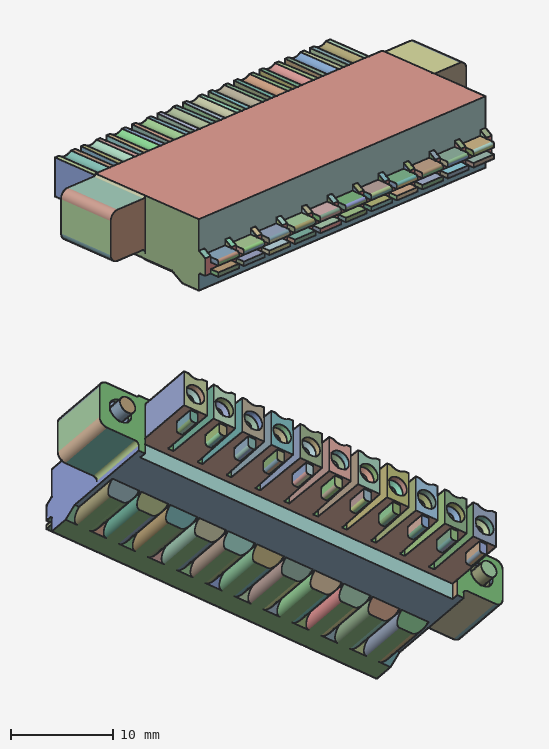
import cadquery as cq


POLES = 11
ROW_LENGTH = 35.0
PITCH = ROW_LENGTH / (POLES - 1)
POLE_Y = [(i - (POLES - 1) / 2) * PITCH for i in range(POLES)]

TOTAL_X = 22.8
TOTAL_Y = 48.8
HEIGHT = 7.75
HOUSING_FRONT = 6.45
HOUSING_REAR = 20.85
HOUSING_WIDTH = 39.35
FRONT_FLOOR = 0.9
REAR_RAMP_START = 17.05
REAR_RAMP_END = 18.55

RIDGE_REAR = 21.7
RIDGE_ROOT_TOP = 4.35
RIDGE_TIP_TOP = 3.8
RIDGE_TIP_BOTTOM = 1.9
RIDGE_CHAMFER = 0.15

PLUG_WIDTH = 2.8
PLUG_DRAFT = 0.075
PLUG_BOTTOM = 2.8
PLUG_TOP = 7.05
GROOVE_WIDTH = 1.6
GROOVE_DEPTH = 0.3
AXIS_Z = 4.8
HOLE_MOUTH_DIAMETER = 2.15
HOLE_END_DIAMETER = 1.1
HOLE_BORE_DEPTH = 0.7
HOLE_CONE_DEPTH = 0.4

PEG_FRONT = 0.25
PEG_LENGTH = 2.3
PEG_WIDTH = 0.9
PEG_BOTTOM = 1.45
PEG_ROUND = 0.3

RECESS_DEPTH = 0.8

LUG_FRONT = 11.5
LUG_RAMP_LENGTH = 1.5
LUG_WIDTH = 3.25
LUG_ROUND = 0.9
LUG_OVERLAP = 0.3

FLANGE_LENGTH = 6.95
FLANGE_BOTTOM = 1.95
FLANGE_ROUND = 0.95
FLANGE_ROOT = 0.5
TOP_BLEND = 0.25
FLANGE_TOP = HEIGHT - TOP_BLEND
BOTTOM_BLEND = 0.45
SCREW_Y = 21.85
SCREW_DIAMETER = 1.85
SCREW_LENGTH = 1.15
SCREW_RECESS_DIAMETER = 2.65
SCREW_RECESS_DEPTH = 0.5

LIP_WIDTH = 2.85
LIP_FRONT = HOUSING_REAR
UPPER_LIP_BOTTOM = 3.1
UPPER_LIP_TOP = 3.7
LOWER_LIP_TOP = 2.4
LIP_ROUND = 0.25


def block(x0, x1, width, z0, z1, y=0.0):
    """Box from x0 to x1 and z0 to z1, centred on y."""
    box = cq.Workplane("XY").box(x1 - x0, width, z1 - z0, centered=(False, True, False))
    return box.translate((x0, y, z0))


def cylinder_x(x0, x1, diameter, y, z):
    """Round bar along X."""
    return cq.Workplane("YZ", origin=(x0, y, z)).circle(diameter / 2).extrude(x1 - x0)


def make_housing():
    """Housing with its rear ridge, open below the plugs by a shallow front recess."""
    side_outline = [
        (HOUSING_FRONT, FRONT_FLOOR),
        (REAR_RAMP_START, FRONT_FLOOR),
        (REAR_RAMP_END, 0),
        (HOUSING_REAR, 0),
        (HOUSING_REAR, RIDGE_TIP_BOTTOM - RIDGE_CHAMFER),
        (HOUSING_REAR + RIDGE_CHAMFER, RIDGE_TIP_BOTTOM),
        (RIDGE_REAR, RIDGE_TIP_BOTTOM),
        (RIDGE_REAR, RIDGE_TIP_TOP),
        (HOUSING_REAR, RIDGE_ROOT_TOP),
        (HOUSING_REAR, HEIGHT),
        (HOUSING_FRONT, HEIGHT),
    ]
    housing = cq.Workplane("XZ").polyline(side_outline).close().extrude(HOUSING_WIDTH / 2, both=True)
    recess_width = ROW_LENGTH + PLUG_WIDTH
    recess = block(HOUSING_FRONT, HOUSING_FRONT + RECESS_DEPTH, recess_width, 0, PLUG_BOTTOM)
    return housing.cut(recess)


def make_flange():
    """Flange on the +Y side, blended into the housing above and below."""
    wall = HOUSING_WIDTH / 2
    edge = TOTAL_Y / 2
    root = wall - FLANGE_ROOT
    outline = (
        cq.Workplane("YZ", origin=(HOUSING_FRONT, 0, 0))
        .moveTo(root, FLANGE_BOTTOM - BOTTOM_BLEND)
        .lineTo(wall, FLANGE_BOTTOM - BOTTOM_BLEND)
        .radiusArc((wall + BOTTOM_BLEND, FLANGE_BOTTOM), BOTTOM_BLEND)
        .lineTo(edge - FLANGE_ROUND, FLANGE_BOTTOM)
        .radiusArc((edge, FLANGE_BOTTOM + FLANGE_ROUND), -FLANGE_ROUND)
        .lineTo(edge, FLANGE_TOP - FLANGE_ROUND)
        .radiusArc((edge - FLANGE_ROUND, FLANGE_TOP), -FLANGE_ROUND)
        .lineTo(wall + TOP_BLEND, FLANGE_TOP)
        .radiusArc((wall, HEIGHT), TOP_BLEND)
        .lineTo(root, HEIGHT)
        .close()
    )
    flange = outline.extrude(FLANGE_LENGTH)
    recess_floor = HOUSING_FRONT + SCREW_RECESS_DEPTH
    flange = flange.cut(cylinder_x(HOUSING_FRONT, recess_floor, SCREW_RECESS_DIAMETER, SCREW_Y, AXIS_Z))
    screw = cylinder_x(HOUSING_FRONT - SCREW_LENGTH, recess_floor, SCREW_DIAMETER, SCREW_Y, AXIS_Z)
    return flange.union(screw)


def make_plug(draft):
    """Plug on y = 0: body with a grooved top, cone-ended hole and keying peg."""
    tip = PLUG_WIDTH / 2 - draft
    root = PLUG_WIDTH / 2 + draft
    plug = (
        cq.Workplane("XY", origin=(0, 0, PLUG_BOTTOM))
        .polyline([(0, -tip), (HOUSING_FRONT, -root), (HOUSING_FRONT, root), (0, tip)])
        .close()
        .extrude(PLUG_TOP - PLUG_BOTTOM)
    )
    groove = (
        cq.Workplane("YZ")
        .moveTo(-GROOVE_WIDTH / 2, PLUG_TOP)
        .threePointArc((0, PLUG_TOP - GROOVE_DEPTH), (GROOVE_WIDTH / 2, PLUG_TOP))
        .close()
        .extrude(HOUSING_FRONT)
    )
    hole_end = HOLE_BORE_DEPTH + HOLE_CONE_DEPTH
    hole_profile = [
        (0, 0),
        (0, HOLE_MOUTH_DIAMETER / 2),
        (HOLE_BORE_DEPTH, HOLE_MOUTH_DIAMETER / 2),
        (hole_end, HOLE_END_DIAMETER / 2),
        (hole_end, 0),
    ]
    hole = (
        cq.Workplane("XZ", origin=(0, 0, AXIS_Z))
        .polyline(hole_profile)
        .close()
        .revolve(360, (0, 0, 0), (1, 0, 0))
    )
    peg = block(PEG_FRONT, PEG_FRONT + PEG_LENGTH, PEG_WIDTH, PEG_BOTTOM, PLUG_BOTTOM)
    peg = peg.edges("|X and <Z").fillet(PEG_ROUND)
    return plug.cut(groove).cut(hole).union(peg)


def make_lug():
    """Lug under the housing on y = 0, with a ramped front and rounded lower edges."""
    top = FRONT_FLOOR + LUG_OVERLAP
    lug = block(LUG_FRONT, REAR_RAMP_END, LUG_WIDTH, 0, top).edges("|X and <Z").fillet(LUG_ROUND)
    ramp = (
        cq.Workplane("XZ")
        .polyline([(LUG_FRONT, 0), (LUG_FRONT + LUG_RAMP_LENGTH, 0), (LUG_FRONT, FRONT_FLOOR)])
        .close()
        .extrude(LUG_WIDTH / 2, both=True)
    )
    return lug.cut(ramp)


def make_lips():
    """Pair of contact lips on y = 0."""
    upper = block(LIP_FRONT, TOTAL_X, LIP_WIDTH, UPPER_LIP_BOTTOM, UPPER_LIP_TOP)
    upper = upper.edges(">X and >Z").fillet(LIP_ROUND)
    lower = block(LIP_FRONT, TOTAL_X, LIP_WIDTH, RIDGE_TIP_BOTTOM, LOWER_LIP_TOP)
    return upper.union(lower)


result = make_housing()

flange = make_flange()
result = result.union(flange).union(flange.mirror("XZ"))

end_plug = make_plug(0)
inner_plug = make_plug(PLUG_DRAFT)
lug = make_lug()
lips = make_lips()
for pole, y in enumerate(POLE_Y):
    plug = end_plug if pole in (0, POLES - 1) else inner_plug
    shelf = block(LIP_FRONT, RIDGE_REAR, LIP_WIDTH, UPPER_LIP_TOP, RIDGE_ROOT_TOP, y)
    result = result.cut(shelf)
    for feature in (plug, lug, lips):
        result = result.union(feature.translate((0, y, 0)))